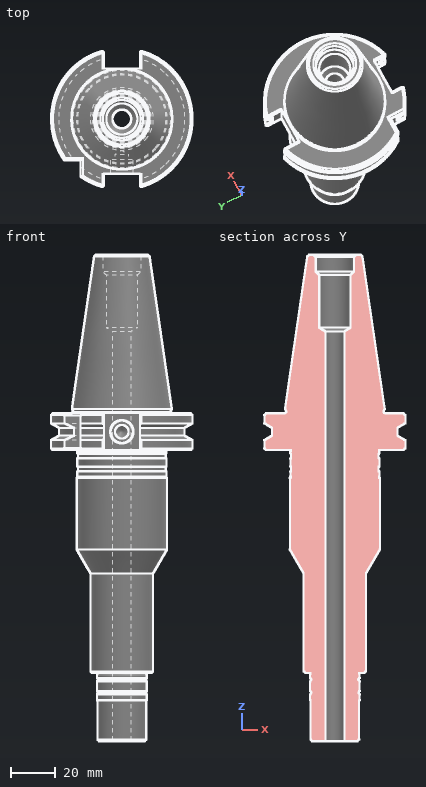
import cadquery as cq
import math

top_z = 68.4
bottom_z = top_z - 217.8
taper_end_z = -0.7
neck_z = -2.0
flange_top_z = -2.6
flange_bottom_z = -19.2
flange_mid_z = (flange_top_z + flange_bottom_z) / 2
upper_shaft_z = -31.5
shaft_cone_top_z = -63.5
shaft_cone_bottom_z = -74.3
shaft_end_z = -119.0
nose_rings_top_z = -119.8
nose_rings_bottom_z = -130.9

gauge_radius = 44.6 / 2
taper_slope = 7 / 48
top_chamfer = 0.9

flange_radius = 63.4 / 2
flange_chamfer = 0.9
groove_radius = 56.5 / 2
groove_half_floor = 1.7
groove_half_mouth = groove_half_floor + (flange_radius - groove_radius) * math.tan(math.radians(30))

slot_half_width = 8.0
slot_edge_chamfer = 0.7
slot_floor_fillet = 0.9
front_slot_floor = 24.5
back_slot_floor = 22.6
notch_offset = 18.5
notch_chamfer = 1.0
chip_pocket_diameter = 10.0
chip_pocket_depth = 6.5
chip_pocket_mouth_diameter = 10.5
chip_hole_diameter = 6.0
chip_hole_depth = 8.7
drill_half_angle = math.radians(59)

neck_radius = 21.8
flange_step_radius = 22.6
collar_radius = 40.0 / 2
upper_shaft_radius = 40.5 / 2
lower_shaft_radius = 28.0 / 2
nose_radius = 22.0 / 2
nose_ring_radius = 22.5 / 2
shaft_end_chamfer = 0.9
nose_chamfer = 0.9
relief_depth = 0.33
collar_groove_width = 2.5
collar_groove_tops = (-20.5, -26.3)
nose_groove_depth = 0.7
nose_groove_width = 1.5
nose_groove_mids = (-121.7, -127.5)

bore_radius = 17.0 / 2
bore_chamfer = 1.0
bore_depth = 7.6
thread_radius = 14.0 / 2
thread_depth = 32.7
through_radius = 8.3 / 2


def revolve(profile):
    """Close a (radius, height) profile and turn it about the vertical axis of its sketch plane."""
    return profile.close().revolve(360, (0, 0, 0), (0, 1, 0))


def taper_radius(z):
    return gauge_radius - taper_slope * z


def turned_body():
    """Taper, collar, stepped shaft and nose, traced from top to bottom."""
    profile = (
        cq.Workplane("XZ")
        .moveTo(0, top_z)
        .lineTo(taper_radius(top_z) - top_chamfer, top_z)
        .lineTo(taper_radius(top_z - top_chamfer), top_z - top_chamfer)
        .lineTo(taper_radius(taper_end_z), taper_end_z)
        .lineTo(neck_radius, neck_z)
        .lineTo(flange_step_radius, flange_top_z)
        .lineTo(flange_step_radius, flange_mid_z)
        .lineTo(collar_radius - relief_depth, flange_mid_z)
        .lineTo(collar_radius - relief_depth, flange_bottom_z)
        .lineTo(collar_radius, flange_bottom_z - relief_depth)
    )
    for groove_top in collar_groove_tops:
        groove_bottom = groove_top - collar_groove_width
        profile = (
            profile
            .lineTo(collar_radius, groove_top)
            .lineTo(collar_radius - relief_depth, groove_top - relief_depth)
            .lineTo(collar_radius - relief_depth, groove_bottom + relief_depth)
            .lineTo(collar_radius, groove_bottom)
        )
    profile = (
        profile
        .lineTo(collar_radius, upper_shaft_z + 2 * relief_depth)
        .lineTo(collar_radius - relief_depth, upper_shaft_z + relief_depth)
        .lineTo(upper_shaft_radius, upper_shaft_z)
        .lineTo(upper_shaft_radius, shaft_cone_top_z)
        .lineTo(lower_shaft_radius, shaft_cone_bottom_z)
        .lineTo(lower_shaft_radius, shaft_end_z + shaft_end_chamfer)
        .lineTo(lower_shaft_radius - shaft_end_chamfer, shaft_end_z)
        .lineTo(nose_radius, shaft_end_z)
        .lineTo(nose_ring_radius, nose_rings_top_z)
    )
    for groove_mid in nose_groove_mids:
        profile = (
            profile
            .lineTo(nose_ring_radius, groove_mid + nose_groove_width / 2)
            .lineTo(nose_ring_radius - nose_groove_depth, groove_mid)
            .lineTo(nose_ring_radius, groove_mid - nose_groove_width / 2)
        )
    profile = (
        profile
        .lineTo(nose_ring_radius, nose_rings_bottom_z)
        .lineTo(nose_radius, nose_rings_bottom_z - relief_depth)
        .lineTo(nose_radius, bottom_z + nose_chamfer)
        .lineTo(nose_radius - nose_chamfer, bottom_z)
        .lineTo(0, bottom_z)
    )
    return revolve(profile)


def flange_ring():
    """Disc with chamfered rims and a V-shaped gripper groove."""
    profile = (
        cq.Workplane("XZ")
        .moveTo(0, flange_top_z)
        .lineTo(flange_radius - flange_chamfer, flange_top_z)
        .lineTo(flange_radius, flange_top_z - flange_chamfer)
        .lineTo(flange_radius, flange_mid_z + groove_half_mouth)
        .lineTo(groove_radius, flange_mid_z + groove_half_floor)
        .lineTo(groove_radius, flange_mid_z - groove_half_floor)
        .lineTo(flange_radius, flange_mid_z - groove_half_mouth)
        .lineTo(flange_radius, flange_bottom_z + flange_chamfer)
        .lineTo(flange_radius - flange_chamfer, flange_bottom_z)
        .lineTo(0, flange_bottom_z)
    )
    return revolve(profile)


def notched_blank():
    """Oversized disc with the square notch at -X -Y, its rims chamfered."""
    blank_radius = 2 * flange_radius
    height = flange_top_z - flange_bottom_z
    base = cq.Workplane("XY").workplane(offset=flange_bottom_z)
    corner = (
        base.moveTo(-notch_offset, -notch_offset)
        .rect(-2 * blank_radius, -2 * blank_radius, centered=False)
        .extrude(height)
    )
    blank = base.circle(blank_radius).extrude(height).cut(corner)
    return blank.faces(">Z or <Z").edges("%LINE").chamfer(notch_chamfer)


def drive_slot(floor, side):
    """Cutter for a slot open towards +Y (side = 1) or -Y (side = -1)."""
    flared_half_width = slot_half_width + slot_edge_chamfer
    rim_y = math.sqrt(flange_radius**2 - flared_half_width**2)
    flare_y = rim_y - slot_edge_chamfer
    height = flange_top_z - flange_bottom_z
    base = cq.Workplane("XY").workplane(offset=flange_bottom_z)
    channel = (
        base.moveTo(0, side * (floor + flange_radius / 2))
        .rect(2 * slot_half_width, flange_radius)
        .extrude(height)
        .edges("|Z")
        .fillet(slot_floor_fillet)
    )
    flare = (
        base.moveTo(-slot_half_width, side * flare_y)
        .lineTo(-flared_half_width, side * rim_y)
        .lineTo(-flared_half_width, side * flange_radius)
        .lineTo(flared_half_width, side * flange_radius)
        .lineTo(flared_half_width, side * rim_y)
        .lineTo(slot_half_width, side * flare_y)
        .close()
        .extrude(height)
    )
    rim_chamfers = (
        cq.Workplane("XZ", origin=(0, side * floor, 0))
        .moveTo(-flared_half_width, flange_top_z)
        .lineTo(flared_half_width, flange_top_z)
        .lineTo(slot_half_width, flange_top_z - slot_edge_chamfer)
        .lineTo(slot_half_width, flange_bottom_z + slot_edge_chamfer)
        .lineTo(flared_half_width, flange_bottom_z)
        .lineTo(-flared_half_width, flange_bottom_z)
        .lineTo(-slot_half_width, flange_bottom_z + slot_edge_chamfer)
        .lineTo(-slot_half_width, flange_top_z - slot_edge_chamfer)
        .close()
        .extrude(-side * flange_radius)
    )
    return channel.union(flare).union(rim_chamfers)


def chip_hole():
    """Stepped blind hole with a chamfered mouth and a drill point, in the floor of the front slot."""
    pocket_radius = chip_pocket_diameter / 2
    mouth_radius = chip_pocket_mouth_diameter / 2
    hole_radius = chip_hole_diameter / 2
    point_depth = chip_hole_depth + hole_radius / math.tan(drill_half_angle)
    profile = (
        cq.Workplane("XY")
        .lineTo(mouth_radius, 0)
        .lineTo(pocket_radius, mouth_radius - pocket_radius)
        .lineTo(pocket_radius, chip_pocket_depth)
        .lineTo(hole_radius, chip_pocket_depth)
        .lineTo(hole_radius, chip_hole_depth)
        .lineTo(0, point_depth)
    )
    return revolve(profile).translate((0, -front_slot_floor, flange_mid_z))


def stepped_bore():
    """Chamfered pilot bore, thread bore and through hole along the axis."""
    chamfer_radius = bore_radius + bore_chamfer
    seat_depth = bore_depth + (bore_radius - thread_radius)
    cone_depth = thread_depth + (thread_radius - through_radius) / math.tan(drill_half_angle)
    profile = (
        cq.Workplane("XZ")
        .moveTo(0, top_z)
        .lineTo(chamfer_radius, top_z)
        .lineTo(bore_radius, top_z - bore_chamfer)
        .lineTo(bore_radius, top_z - bore_depth)
        .lineTo(thread_radius, top_z - seat_depth)
        .lineTo(thread_radius, top_z - thread_depth)
        .lineTo(through_radius, top_z - cone_depth)
        .lineTo(through_radius, bottom_z)
        .lineTo(0, bottom_z)
    )
    return revolve(profile)


flange = (
    flange_ring()
    .intersect(notched_blank())
    .cut(drive_slot(front_slot_floor, -1))
    .cut(drive_slot(back_slot_floor, 1))
)
result = turned_body().union(flange).cut(chip_hole()).cut(stepped_bore())